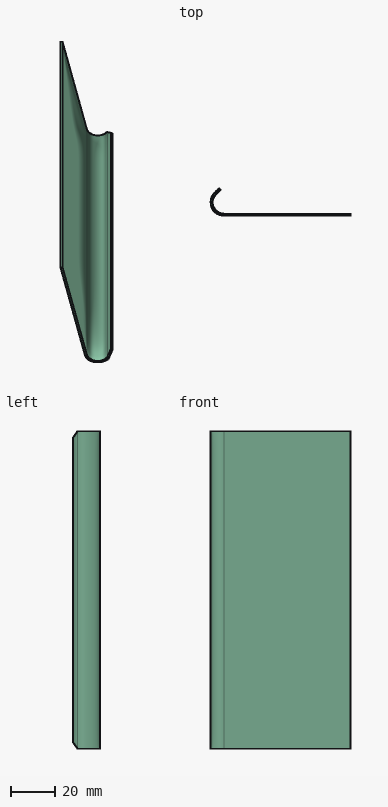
import cadquery as cq
import math

height = 143.0
width = 63.0
thickness = 1.0
bend_radius = 6.0
bend_angle = 135.0
lip_length = 3.0
corner_rise = 3.0

inner_radius = bend_radius - thickness


def bend_point(radius, turn):
    """Point on the bend after turning by the given angle from the plate."""
    angle = math.radians(turn)
    return (
        bend_radius - radius * math.sin(angle),
        bend_radius - radius * math.cos(angle),
    )


def along_lip(point):
    """Move a point from the end of the bend to the tip of the lip."""
    angle = math.radians(bend_angle)
    return (
        point[0] - lip_length * math.cos(angle),
        point[1] + lip_length * math.sin(angle),
    )


outer_bend_end = bend_point(bend_radius, bend_angle)
inner_bend_end = bend_point(inner_radius, bend_angle)
outer_tip = along_lip(outer_bend_end)
inner_tip = along_lip(inner_bend_end)


def hooked_sheet():
    """Flat plate with a rolled edge ending in a straight lip."""
    return (
        cq.Workplane("XY")
        .moveTo(width, 0)
        .lineTo(bend_radius, 0)
        .threePointArc(bend_point(bend_radius, bend_angle / 2), outer_bend_end)
        .lineTo(*outer_tip)
        .lineTo(*inner_tip)
        .lineTo(*inner_bend_end)
        .threePointArc(bend_point(inner_radius, bend_angle / 2), (bend_radius, thickness))
        .lineTo(width, thickness)
        .close()
        .extrude(height)
    )


def chamfer_lip_corners(sheet):
    """Cut both lip corners at a slope, over the full length of the lip."""
    lip_plane = cq.Plane(
        origin=(*inner_bend_end, 0),
        xDir=(
            outer_tip[0] - outer_bend_end[0],
            outer_tip[1] - outer_bend_end[1],
            0,
        ),
        normal=(
            outer_bend_end[0] - inner_bend_end[0],
            outer_bend_end[1] - inner_bend_end[1],
            0,
        ),
    )
    for end, inward in ((0, -1), (-height, 1)):
        corner = (
            cq.Workplane(lip_plane)
            .moveTo(0, end)
            .lineTo(lip_length, end)
            .lineTo(lip_length, end + inward * corner_rise)
            .close()
            .extrude(thickness)
        )
        sheet = sheet.cut(corner)
    return sheet


result = chamfer_lip_corners(hooked_sheet())